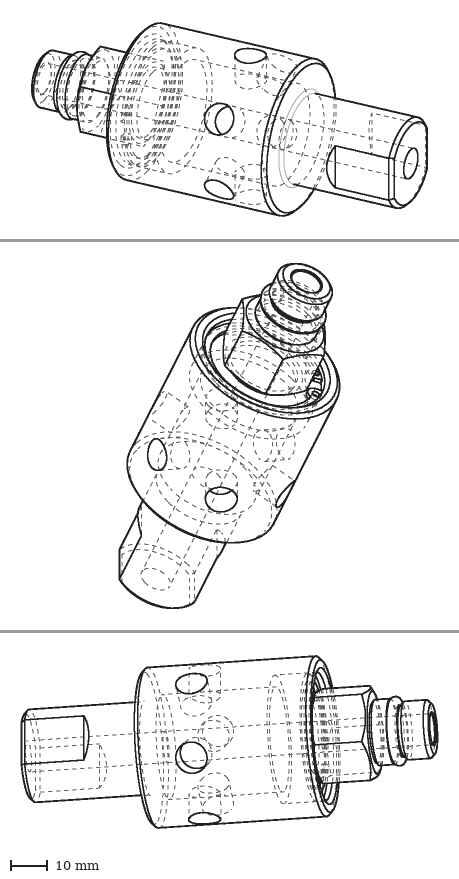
import cadquery as cq
import math

TOTAL_LENGTH = 111.9
EDGE_CHAMFER = 1.1

BARREL_DIAMETER = 43.8
BARREL_START = 29.8
BARREL_END = 78.5
SHANK_DIAMETER = 25.4
SHANK_ROOT_FILLET = 1.0
WRENCH_WIDTH = 21.9
WRENCH_FLAT_START = 94.4

VENT_DIAMETER = 8.6
VENT_COUNT = 6
VENT_X = 63.1

CAVITY_DIAMETER = 35.0
RING_DEPTH = 2.6
RING_START = BARREL_START + RING_DEPTH
RING_THICKNESS = 1.1
RING_END = RING_START + RING_THICKNESS
RING_INNER_DIAMETER = 30.7
RING_GAP = 4.5
EAR_EYE_DIAMETER = 2.0
EAR_EYE_Y = -15.4
EAR_EYE_Z = 4.6
EAR_RADIUS = EAR_EYE_Z - RING_GAP / 2
EAR_ROOT_FILLET = 0.6

BORE_DIAMETER = 8.5
BORE_CHAMFER = 0.3
THREAD_DIAMETER = 16.0
NECK_DIAMETER = 13.5
NECK_START = 8.4
ORING_SECTION = 2.8
ORING_OUTER_DIAMETER = 18.9
COLLAR_DIAMETER = 18.0
COLLAR_START = NECK_START + ORING_SECTION
COLLAR_CHAMFER = 0.7

HEX_START = 16.0
HEX_END = 31.8
HEX_ACROSS_FLATS = 23.8
HEX_FACE_DIAMETER = 22.7
HEX_CHAMFER_ANGLE = 30.0
HUB_DIAMETER = 19.8
FLANGE_END = 42.5
ROTOR_DIAMETER = 28.6
ROTOR_END = 73.9


def cylinder(diameter, start, end):
    """Cylinder about the X axis between two X positions."""
    return cq.Workplane("YZ", origin=(start, 0, 0)).circle(diameter / 2).extrude(end - start)


def revolve_about_axis(outline):
    """Full turn about the X axis of an XY outline, where Y is the radius."""
    return outline.close().revolve(360, (0, 0, 0), (1, 0, 0))


def inner_cylinders():
    """Flange and inner barrel of the rotor, which exactly fill the housing's cavity."""
    flange = cylinder(CAVITY_DIAMETER, RING_END, FLANGE_END)
    return flange.union(cylinder(ROTOR_DIAMETER, FLANGE_END, ROTOR_END))


def wrench_flat_cutter():
    """Cutter for the flat on the +Y side, with a 45 degree run-out."""
    flat_y = WRENCH_WIDTH / 2
    outer_y = SHANK_DIAMETER / 2 + EDGE_CHAMFER
    return (
        cq.Workplane("XY")
        .moveTo(WRENCH_FLAT_START, flat_y)
        .lineTo(TOTAL_LENGTH, flat_y)
        .lineTo(TOTAL_LENGTH, outer_y)
        .lineTo(WRENCH_FLAT_START - (outer_y - flat_y), outer_y)
        .close()
        .extrude(SHANK_DIAMETER / 2, both=True)
    )


def vent_cutters():
    """Evenly spaced radial cutters, each reaching from the axis past the barrel's surface."""
    vent = cq.Workplane("XY", origin=(VENT_X, 0, 0)).circle(VENT_DIAMETER / 2).extrude(BARREL_DIAMETER)
    return [vent.rotate((0, 0, 0), (1, 0, 0), i * 360 / VENT_COUNT) for i in range(VENT_COUNT)]


def ear_root_points():
    """Points on the ring's inner circle where the outer sides of the two ears leave it."""
    ring_radius = RING_INNER_DIAMETER / 2
    eye_distance = math.hypot(EAR_EYE_Y, EAR_EYE_Z)
    eye_angle = math.atan2(EAR_EYE_Z, -EAR_EYE_Y)
    cosine = (ring_radius**2 + eye_distance**2 - EAR_RADIUS**2) / (2 * ring_radius * eye_distance)
    root_angle = eye_angle + math.acos(cosine)
    root_y = -ring_radius * math.cos(root_angle)
    root_z = ring_radius * math.sin(root_angle)
    root_x = (RING_START + RING_END) / 2
    return [(root_x, root_y, root_z), (root_x, root_y, -root_z)]


def make_snap_ring():
    """Open ring with two eared ends on the -Y side, each ear pierced by an eye."""
    ring_plane = cq.Workplane("YZ", origin=(RING_START, 0, 0))
    eyes = ring_plane.pushPoints([(EAR_EYE_Y, EAR_EYE_Z), (EAR_EYE_Y, -EAR_EYE_Z)])
    disc = cylinder(CAVITY_DIAMETER, RING_START, RING_END)
    ears = eyes.circle(EAR_RADIUS).extrude(RING_THICKNESS).intersect(disc)
    ring = disc.cut(cylinder(RING_INNER_DIAMETER, RING_START, RING_END)).union(ears)
    for point in ear_root_points():
        ring = ring.edges(cq.selectors.NearestToPointSelector(point)).fillet(EAR_ROOT_FILLET)

    gap_length = CAVITY_DIAMETER / 2
    gap = ring_plane.center(-gap_length / 2, 0).rect(gap_length, RING_GAP).extrude(RING_THICKNESS)
    eye_holes = eyes.circle(EAR_EYE_DIAMETER / 2).extrude(RING_THICKNESS)
    return ring.cut(gap).cut(eye_holes)


def make_housing():
    """Barrel and wrench shank in one piece, with vents, snap ring and the rotor's cavity."""
    barrel = cylinder(BARREL_DIAMETER, BARREL_START, BARREL_END).faces("<X or >X").chamfer(EDGE_CHAMFER)
    shank = cylinder(SHANK_DIAMETER, BARREL_END, TOTAL_LENGTH)
    flat = wrench_flat_cutter()
    shank = shank.cut(flat).cut(flat.mirror("XZ")).faces(">X").chamfer(EDGE_CHAMFER)
    root_outline = (
        cq.Workplane("XY")
        .moveTo(BARREL_END, 0)
        .lineTo(BARREL_END, SHANK_DIAMETER / 2 + SHANK_ROOT_FILLET)
        .radiusArc((BARREL_END + SHANK_ROOT_FILLET, SHANK_DIAMETER / 2), -SHANK_ROOT_FILLET)
        .lineTo(BARREL_END + SHANK_ROOT_FILLET, 0)
    )
    housing = barrel.union(shank).union(revolve_about_axis(root_outline))
    for vent in vent_cutters():
        housing = housing.cut(vent)

    mouth = cylinder(CAVITY_DIAMETER, BARREL_START, RING_END)
    mouth_outline = (
        cq.Workplane("XY")
        .moveTo(BARREL_START, 0)
        .lineTo(BARREL_START, CAVITY_DIAMETER / 2 + EDGE_CHAMFER)
        .lineTo(BARREL_START + EDGE_CHAMFER, CAVITY_DIAMETER / 2)
        .lineTo(BARREL_START + EDGE_CHAMFER, 0)
    )
    through_bore = cylinder(BORE_DIAMETER, ROTOR_END, TOTAL_LENGTH)
    return (
        housing.cut(mouth)
        .cut(revolve_about_axis(mouth_outline))
        .cut(inner_cylinders())
        .cut(through_bore)
        .union(make_snap_ring())
    )


def make_hexagon():
    """Hexagon with corners at +Z and -Z, its corners chamfered at both ends."""
    corner_diameter = HEX_ACROSS_FLATS / math.cos(math.pi / 6)
    hexagon = (
        cq.Workplane("YZ", origin=(HEX_START, 0, 0))
        .polygon(6, corner_diameter)
        .extrude(HEX_END - HEX_START)
        .rotate((0, 0, 0), (1, 0, 0), 90)
    )
    face_radius = HEX_FACE_DIAMETER / 2
    corner_radius = corner_diameter / 2
    chamfer_length = (corner_radius - face_radius) * math.tan(math.radians(HEX_CHAMFER_ANGLE))
    envelope = (
        cq.Workplane("XY")
        .moveTo(HEX_START, 0)
        .lineTo(HEX_START, face_radius)
        .lineTo(HEX_START + chamfer_length, corner_radius)
        .lineTo(HEX_END - chamfer_length, corner_radius)
        .lineTo(HEX_END, face_radius)
        .lineTo(HEX_END, 0)
    )
    return hexagon.intersect(revolve_about_axis(envelope))


def make_rotor():
    """Stub, O-ring, hexagon, flange and inner barrel in one piece, bored through."""
    thread = cylinder(THREAD_DIAMETER, 0, NECK_START).faces("<X or >X").chamfer(EDGE_CHAMFER)
    neck = cylinder(NECK_DIAMETER, NECK_START, COLLAR_START)
    oring_center_radius = (ORING_OUTER_DIAMETER - ORING_SECTION) / 2
    oring = (
        cq.Workplane("XY", origin=(NECK_START + ORING_SECTION / 2, oring_center_radius, 0))
        .circle(ORING_SECTION / 2)
        .revolve(360, (0, -oring_center_radius, 0), (1, -oring_center_radius, 0))
    )
    collar = cylinder(COLLAR_DIAMETER, COLLAR_START, HEX_START).faces(">X").chamfer(COLLAR_CHAMFER)
    hub = cylinder(HUB_DIAMETER, HEX_END, RING_END)
    rotor = thread
    for section in (neck, oring, collar, make_hexagon(), hub, inner_cylinders()):
        rotor = rotor.union(section)
    bore = cylinder(BORE_DIAMETER, 0, ROTOR_END)
    bore_rim = rotor.cut(bore).faces("<X").edges(cq.selectors.RadiusNthSelector(0))
    return bore_rim.chamfer(BORE_CHAMFER)


housing = make_housing()
rotor = make_rotor()
result = cq.Compound.makeCompound([housing.solids().val(), rotor.solids().val()])